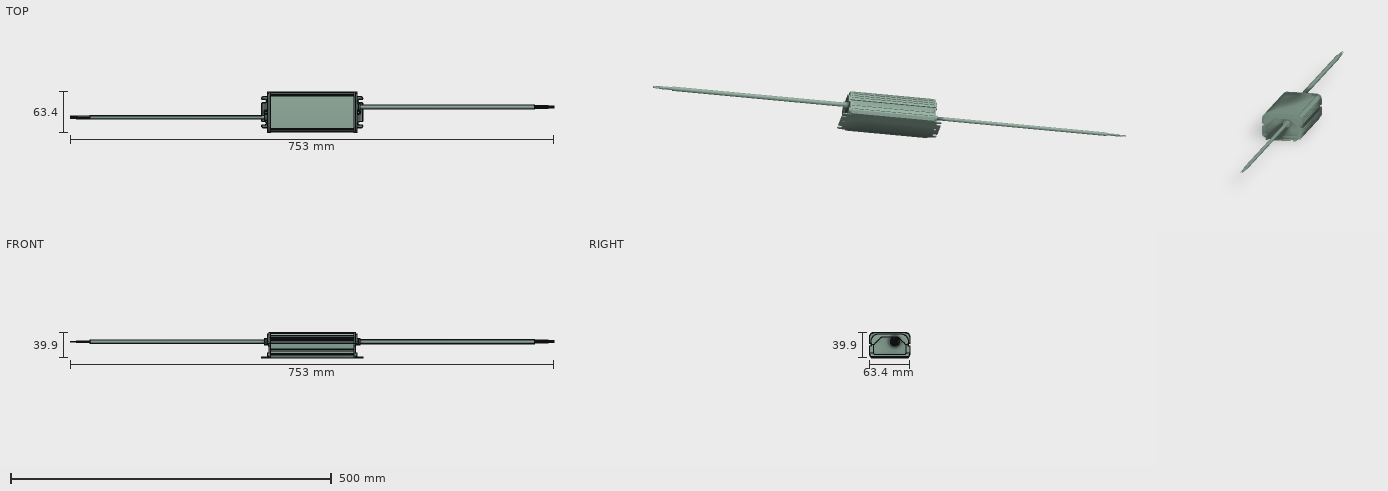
import cadquery as cq
import math

overall_length = 753.0
body_width = 63.4
body_height = 39.91
body_length = 140.0
base_length = 157.5

housing_half_width = 31.2
waist_half_width = 28.8
waist_bottom = 14.2
waist_top = 22.8
shoulder_height = 35.0
crown_edge_height = 39.0
crown_half_width = 28.0
top_groove_offset = 26.0
top_groove_width = 1.4
bottom_half_width = 28.2
bottom_bevel_height = 4.6
lower_groove_heights = (6.3, 12.0)
upper_groove_heights = (26.0, 29.5, 33.0)
groove_width = 2.0
groove_depth = 1.2

cap_thickness = 4.8
cap_corner_radius = 8.0
face_step = 2.4
face_corner_radius = 12.0
side_opening_depth = 2.3
side_opening_bottom = 8.0
cap_recess_depth = 3.0
recess_bottom = 5.6
recess_corner_radius = 2.2
recess_eave = 20.8
recess_half_width = 25.2
recess_roof_half_width = 12.5
recess_roof_height = 32.8
notch_height = 3.8
notch_depth = 2.6

tab_width = 49.0
tab_thickness = 1.2
tab_corner_radius = 3.2
tab_slot_spacing = 34.6
tab_slot_width = 5.0
tab_slot_length = 7.5
slot_mouth_radius = 1.4
tab_hole_x = -72.0
tab_hole_diameter = 3.4
tab_counterbore_diameter = 6.8
tab_counterbore_depth = 0.5

gland_offset = 8.0
gland_axis_height = 25.4
gland_collar_diameter = 14.0
gland_nose_diameter = 10.2
gland_collar_height = 0.8
gland_tip_diameter = 9.6
gland_tip_length = 2.2
gland_face = 74.5
input_cable_diameter = 5.6
output_cable_diameter = 6.8
jacket_end = 346.0
wire_embedding = 1.0
conductor_length = 9.5
conductor_diameter = 1.2
wire_diameter = 2.4

half_length = overall_length / 2
half_body = body_length / 2
housing_half_length = half_body - cap_thickness
recess_floor = half_body - cap_recess_depth
wire_root = jacket_end - wire_embedding
wire_end = half_length - conductor_length


def block(x_range, y_range, z_range):
    """Box spanning the given ranges along X, Y and Z."""
    spans = [high - low for low, high in (x_range, y_range, z_range)]
    corner = (x_range[0], y_range[0], z_range[0])
    return cq.Workplane("XY").box(*spans, centered=False).translate(corner)


def rod(diameter, x_start, x_end, y, z):
    """Round bar along X; it may run in either direction."""
    return cq.Workplane("YZ", origin=(x_start, y, z)).circle(diameter / 2).extrude(x_end - x_start)


def make_housing():
    """Extrusion with a crowned top, waisted sides and lengthwise grooves."""
    profile = (
        cq.Workplane("YZ", origin=(-housing_half_length, 0, 0))
        .moveTo(-bottom_half_width, 0)
        .lineTo(bottom_half_width, 0)
        .lineTo(housing_half_width, bottom_bevel_height)
        .lineTo(housing_half_width, waist_bottom)
        .lineTo(waist_half_width, waist_bottom)
        .lineTo(waist_half_width, waist_top)
        .lineTo(housing_half_width, waist_top)
        .lineTo(housing_half_width, shoulder_height)
        .lineTo(crown_half_width, crown_edge_height)
        .threePointArc((0, body_height), (-crown_half_width, crown_edge_height))
        .lineTo(-housing_half_width, shoulder_height)
        .lineTo(-housing_half_width, waist_top)
        .lineTo(-waist_half_width, waist_top)
        .lineTo(-waist_half_width, waist_bottom)
        .lineTo(-housing_half_width, waist_bottom)
        .lineTo(-housing_half_width, bottom_bevel_height)
        .close()
    )
    housing = profile.extrude(2 * housing_half_length)
    for side in (-1, 1):
        for height in lower_groove_heights + upper_groove_heights:
            groove = cq.Workplane("XY").box(2 * housing_half_length, 2 * groove_depth, groove_width)
            housing = housing.cut(groove.translate((0, side * housing_half_width, height)))
        top_groove = cq.Workplane("XY").box(2 * housing_half_length, top_groove_width, 2 * groove_depth)
        housing = housing.cut(top_groove.translate((0, side * top_groove_offset, crown_edge_height)))
    return housing


def cap_plate(x_range, inset, corners, corner_radius):
    """Plate with the cap outline, inset on all sides, with the selected corners rounded."""
    half_width = body_width / 2 - inset
    plate = block(x_range, (-half_width, half_width), (inset, body_height - inset))
    return plate.edges(corners).fillet(corner_radius)


def make_cap():
    """End cap on the -X side: stepped plate with a gabled recess and notched sides."""
    step_x = -half_body + side_opening_depth
    cap = cap_plate((step_x, -housing_half_length), 0, "|X", cap_corner_radius)
    full_depth = (-half_body, -housing_half_length)
    cap = cap.union(cap_plate(full_depth, face_step, "|X and >Z", face_corner_radius))
    foot = cap_plate(full_depth, 0, "|X", cap_corner_radius)
    foot = foot.intersect(block((-half_body, 0), (-body_width, body_width), (face_step, side_opening_bottom)))
    cap = cap.union(foot)
    recess = (
        cq.Workplane("YZ", origin=(-half_body, 0, 0))
        .polyline([
            (-recess_half_width, recess_bottom),
            (recess_half_width, recess_bottom),
            (recess_half_width, recess_eave),
            (recess_roof_half_width, recess_roof_height),
            (-recess_roof_half_width, recess_roof_height),
            (-recess_half_width, recess_eave),
        ])
        .close()
        .extrude(cap_recess_depth)
        .edges("|X and <Z")
        .fillet(recess_corner_radius)
    )
    cap = cap.cut(recess)
    side_opening = block(
        (-half_body, step_x),
        (-body_width / 2, body_width / 2),
        (side_opening_bottom, recess_eave),
    )
    cap = cap.cut(side_opening)
    for side in (-1, 1):
        notch = cq.Workplane("XY").box(body_length, 2 * notch_depth, notch_height)
        cap = cap.cut(notch.translate((0, side * body_width / 2, waist_top - notch_height / 2)))
    return cap


def make_tab():
    """Mounting tab on the -X side with two flared open slots and a counterbored hole."""
    tab_end = -base_length / 2
    slot_center_x = tab_end + tab_slot_length - tab_slot_width / 2
    tab = block((tab_end, -housing_half_length), (-tab_width / 2, tab_width / 2), (0, tab_thickness))
    tab = tab.edges("|Z and <X").fillet(tab_corner_radius)
    for side in (-1, 1):
        slot_y = side * tab_slot_spacing / 2
        slot = (
            cq.Workplane("XY", origin=(slot_center_x, slot_y, 0))
            .circle(tab_slot_width / 2)
            .extrude(tab_thickness)
        )
        channel = block(
            (tab_end, slot_center_x),
            (slot_y - tab_slot_width / 2, slot_y + tab_slot_width / 2),
            (0, tab_thickness),
        )
        tab = tab.cut(slot.union(channel))
        for edge in (-1, 1):
            corner_y = slot_y + edge * tab_slot_width / 2
            corner = cq.selectors.NearestToPointSelector((tab_end, corner_y, tab_thickness / 2))
            tab = tab.edges("|Z").edges(corner).fillet(slot_mouth_radius)
    hole_top = cq.Workplane("XY", origin=(tab_hole_x, 0, tab_thickness))
    tab = tab.cut(hole_top.circle(tab_hole_diameter / 2).extrude(-tab_thickness))
    tab = tab.cut(hole_top.circle(tab_counterbore_diameter / 2).extrude(-tab_counterbore_depth))
    return tab


def make_gland(y):
    """Cable gland on the -X side: collar in the recess and a stepped nose."""
    collar_face = recess_floor + gland_collar_height
    nose_face = gland_face - gland_tip_length
    collar = rod(gland_collar_diameter, -recess_floor, -collar_face, y, gland_axis_height)
    nose = rod(gland_nose_diameter, -recess_floor, -nose_face, y, gland_axis_height)
    tip = rod(gland_tip_diameter, -recess_floor, -gland_face, y, gland_axis_height)
    return collar.union(nose).union(tip)


def make_cable(end, y, diameter, wire_offsets):
    """Jacketed cable leaving one end, with insulated wires and bare conductors."""
    cable = rod(diameter, end * recess_floor, end * jacket_end, y, gland_axis_height)
    for wire_y, wire_z in wire_offsets:
        place = (y + wire_y, gland_axis_height + wire_z)
        wire = rod(wire_diameter, end * wire_root, end * wire_end, *place)
        conductor = rod(conductor_diameter, end * wire_root, end * half_length, *place)
        cable = cable.union(wire).union(conductor)
    return cable


def make_end():
    """Everything at the -X end except the cable: cap, tab and gland."""
    return make_cap().union(make_tab()).union(make_gland(-gland_offset))


pair_offsets = [(-wire_diameter / 2, 0), (wire_diameter / 2, 0)]
triple_radius = wire_diameter / math.sqrt(3)
triple_offsets = [
    (triple_radius * math.cos(math.radians(angle)), triple_radius * math.sin(math.radians(angle)))
    for angle in (90, 210, 330)
]

left_end = make_end()
right_end = left_end.rotate((0, 0, 0), (0, 0, 1), 180)
result = make_housing().union(left_end).union(right_end)
result = result.union(make_cable(-1, -gland_offset, input_cable_diameter, pair_offsets))
result = result.union(make_cable(1, gland_offset, output_cable_diameter, triple_offsets))